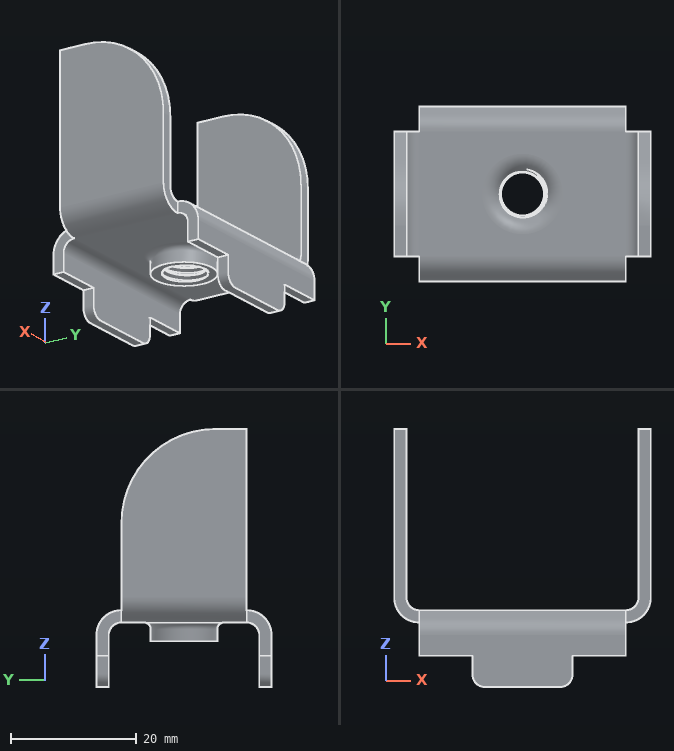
import cadquery as cq
import math

sheet = 2.0
bend_inner = 2.0
bend_outer = bend_inner + sheet

overall_x = 41.0
overall_y = 28.0
overall_z = 41.22
plate_x = overall_x - 2 * bend_outer
plate_y = overall_y - 2 * bend_outer

ear_top = 30.92
ear_corner_radius = 15.0

tongue_bottom = ear_top - overall_z
tongue_length = 5.0
tongue_width = 16.0
tongue_corner_radius = 2.0

collar_diameter = 10.7
collar_drop = 3.0
collar_root_fillet = 1.0

hole_diameter = 6.85
hole_lip_radius = 3.0
hole_seam_angle = 180.0

thread_major = 8.0
thread_pitch = 1.25
thread_crest_flat = 0.1
thread_clearance = 0.05
thread_lead_in = 0.5
thread_start = -collar_drop - thread_lead_in
thread_top = 1.0
thread_start_angle = 290.0

overcut = 1.0


def channel(width, length, bottom, top):
    """U channel running along Y, open at the top, with legs at both X ends."""
    height = top - bottom
    outer = (
        cq.Workplane("XY", origin=(0, 0, bottom))
        .box(width, length, height, centered=(True, True, False))
        .edges("|Y and <Z")
        .fillet(bend_outer)
    )
    inner = (
        cq.Workplane("XY", origin=(0, 0, bottom + sheet))
        .box(width - 2 * sheet, length + 2 * overcut, height, centered=(True, True, False))
        .edges("|Y and <Z")
        .fillet(bend_inner)
    )
    return outer.cut(inner)


def ears():
    """Base plate with two upright ears, each rounded at its upper +Y corner."""
    body = channel(overall_x, plate_y, 0, ear_top)
    return body.edges("|X and >Z and >Y").fillet(ear_corner_radius)


def flanges():
    """Base plate with two downward flanges that narrow to a tongue."""
    upright = channel(overall_y, plate_x, -sheet, -tongue_bottom)
    body = upright.rotate((0, 0, 0), (1, 0, 0), 180).rotate((0, 0, 0), (0, 0, 1), 90)

    step_width = (plate_x - tongue_width) / 2
    for side in (-1, 1):
        step_x = side * (tongue_width + step_width) / 2
        step = cq.Workplane("XY", origin=(step_x, 0, tongue_bottom)).box(
            step_width, overall_y + 2 * overcut, tongue_length, centered=(True, True, False)
        )
        body = body.cut(step)
    return body.edges("|Y and <Z").fillet(tongue_corner_radius)


def collar():
    """Solid collar below the plate, flaring into the underside with a fillet."""
    radius = collar_diameter / 2
    flare_offset = collar_root_fillet * (1 - math.sqrt(0.5))
    return (
        cq.Workplane("XZ")
        .moveTo(0, sheet / 2)
        .lineTo(radius + collar_root_fillet, sheet / 2)
        .lineTo(radius + collar_root_fillet, 0)
        .threePointArc((radius + flare_offset, -flare_offset), (radius, -collar_root_fillet))
        .lineTo(radius, -collar_drop)
        .lineTo(0, -collar_drop)
        .close()
        .revolve(360, (0, 0), (0, 1))
    )


def hole():
    """Through hole whose upper mouth is rounded into the top of the plate."""
    radius = hole_diameter / 2
    lip_offset = hole_lip_radius * (1 - math.sqrt(0.5))
    return (
        cq.Workplane("XZ")
        .moveTo(0, -collar_drop - overcut)
        .lineTo(radius, -collar_drop - overcut)
        .lineTo(radius, sheet - hole_lip_radius)
        .threePointArc((radius + lip_offset, sheet - lip_offset), (radius + hole_lip_radius, sheet))
        .lineTo(radius + hole_lip_radius, sheet + overcut)
        .lineTo(0, sheet + overcut)
        .close()
        .revolve(360, (0, 0), (0, 1))
        .rotate((0, 0, 0), (0, 0, 1), hole_seam_angle)
    )


def thread_groove():
    """Helical V groove, sharp at its root, running out in the rounded mouth of the hole."""
    root_radius = thread_major / 2
    inner_radius = hole_diameter / 2 - thread_clearance
    mouth_half = (thread_pitch - thread_crest_flat) / 2
    flank_slope = mouth_half / (root_radius - hole_diameter / 2)
    inner_half = flank_slope * (root_radius - inner_radius)
    helix = cq.Wire.makeHelix(thread_pitch, thread_top - thread_start, inner_radius)
    groove = (
        cq.Workplane("XZ")
        .moveTo(inner_radius, -inner_half)
        .lineTo(root_radius, 0)
        .lineTo(inner_radius, inner_half)
        .close()
        .sweep(cq.Workplane(obj=helix), isFrenet=True)
    )
    return groove.rotate((0, 0, 0), (0, 0, 1), thread_start_angle).translate((0, 0, thread_start))


bracket = ears().union(flanges()).union(collar())
result = bracket.cut(hole()).cut(thread_groove()).solids()